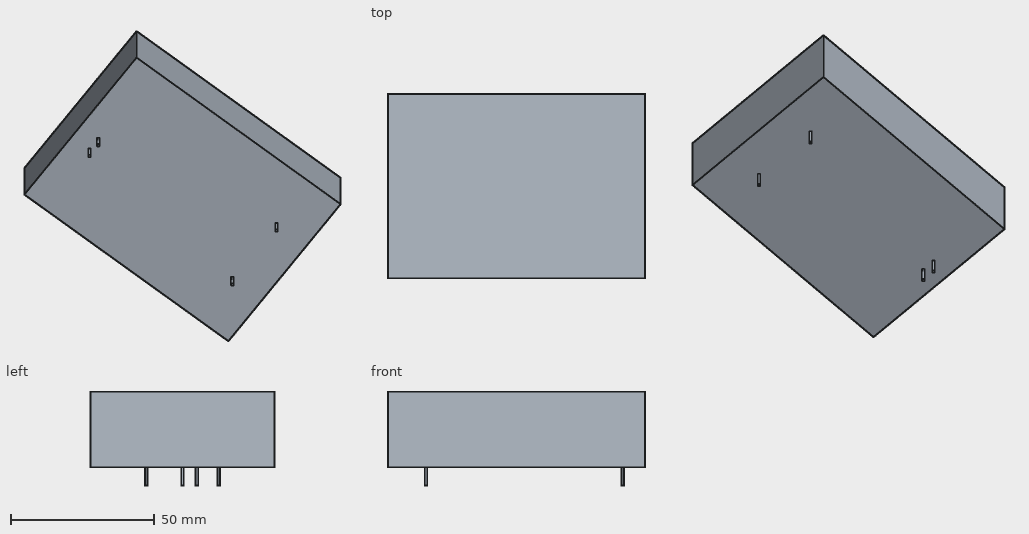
import cadquery as cq

body_length = 89.7
body_width = 64.3
total_height = 32.7
pin_length = 6.4
body_height = total_height - pin_length

pin_diameter = 1.0
left_row_x = -31.6
right_row_x = 37.0
outer_pin_y = 12.6
inner_pin_y = -5.0

left_pins = [(left_row_x, side * outer_pin_y) for side in (-1, 1)]
right_pins = [(right_row_x, y) for y in (0, inner_pin_y)]


def make_body():
    """Plain block with its underside at Z = 0."""
    return cq.Workplane("XY").box(
        body_length, body_width, body_height, centered=(True, True, False)
    )


def make_pins():
    """All pins, hanging down from the underside."""
    return (
        cq.Workplane("XY")
        .pushPoints(left_pins + right_pins)
        .circle(pin_diameter / 2)
        .extrude(-pin_length)
    )


result = make_body().union(make_pins())